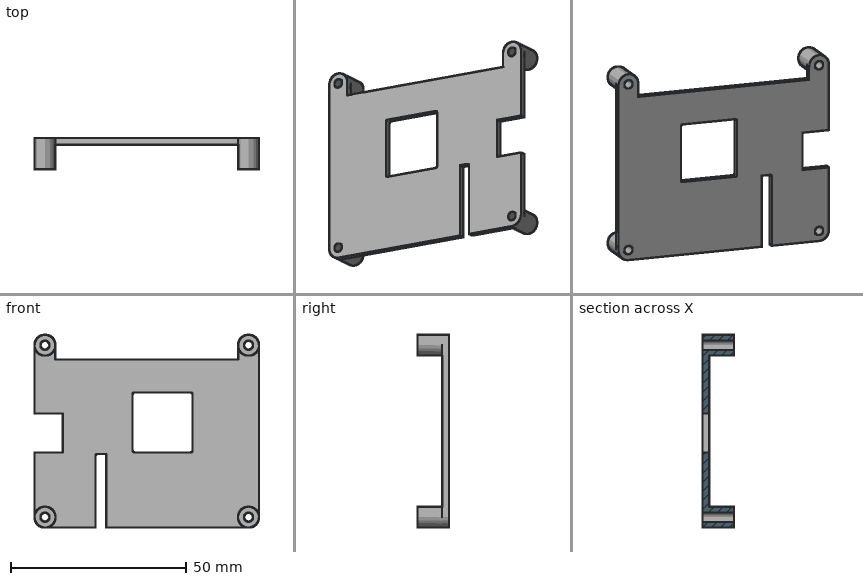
import cadquery as cq

HOLE_SPACING_X = 58.0
HOLE_SPACING_Z = 49.0
BOSS_DIAMETER = 6.0
HOLE_DIAMETER = 2.5
BOSS_LENGTH = 9.0

PLATE_THICKNESS = 2.0
BOSS_RADIUS = BOSS_DIAMETER / 2
PLATE_WIDTH = HOLE_SPACING_X + BOSS_DIAMETER
TOP_HOLE_Z = BOSS_RADIUS + HOLE_SPACING_Z
TOP_EDGE_Z = 48.0

WINDOW_SIZE = 17.0
WINDOW_LEFT = 28.0
WINDOW_BOTTOM = 21.5

NOTCH_DEPTH = 8.0
NOTCH_HEIGHT = 11.0
NOTCH_BOTTOM = 21.5

SLOT_LEFT = 17.4
SLOT_WIDTH = 3.0
SLOT_HEIGHT = 21.0

CUTOUT_FILLET = 0.5

HOLE_CENTRES = [
    (x, z)
    for x in (BOSS_RADIUS, PLATE_WIDTH - BOSS_RADIUS)
    for z in (BOSS_RADIUS, TOP_HOLE_Z)
]


def front_plane():
    """XZ sketch plane on the back face (Y = 0); extrusion runs towards -Y."""
    return cq.Workplane("XZ")


def block(left, bottom, width, height):
    """Block of plate thickness placed by its lower left corner."""
    return (
        front_plane()
        .moveTo(left, bottom)
        .rect(width, height, centered=False)
        .extrude(PLATE_THICKNESS)
    )


def make_plate():
    """Plate with rounded bottom corners and two round-topped lugs."""
    right_lug_inner_x = PLATE_WIDTH - BOSS_DIAMETER
    return (
        front_plane()
        .moveTo(BOSS_RADIUS, 0)
        .lineTo(PLATE_WIDTH - BOSS_RADIUS, 0)
        .radiusArc((PLATE_WIDTH, BOSS_RADIUS), -BOSS_RADIUS)
        .lineTo(PLATE_WIDTH, TOP_HOLE_Z)
        .threePointArc(
            (PLATE_WIDTH - BOSS_RADIUS, TOP_HOLE_Z + BOSS_RADIUS),
            (right_lug_inner_x, TOP_HOLE_Z),
        )
        .lineTo(right_lug_inner_x, TOP_EDGE_Z)
        .lineTo(BOSS_DIAMETER, TOP_EDGE_Z)
        .lineTo(BOSS_DIAMETER, TOP_HOLE_Z)
        .threePointArc((BOSS_RADIUS, TOP_HOLE_Z + BOSS_RADIUS), (0, TOP_HOLE_Z))
        .lineTo(0, BOSS_RADIUS)
        .radiusArc((BOSS_RADIUS, 0), -BOSS_RADIUS)
        .close()
        .extrude(PLATE_THICKNESS)
    )


def make_window():
    """Square opening with all four corners rounded."""
    window = block(WINDOW_LEFT, WINDOW_BOTTOM, WINDOW_SIZE, WINDOW_SIZE)
    return window.edges("|Y").fillet(CUTOUT_FILLET)


def make_notch():
    """Sharp-cornered notch open to the left edge."""
    return block(0, NOTCH_BOTTOM, NOTCH_DEPTH, NOTCH_HEIGHT)


def make_slot():
    """Slot open to the bottom edge, with only its upper left corner rounded."""
    slot = block(SLOT_LEFT, 0, SLOT_WIDTH, SLOT_HEIGHT)
    return slot.edges("|Y").edges("<X").edges(">Z").fillet(CUTOUT_FILLET)


def make_cylinders(diameter):
    """Cylinders of full boss length on every hole centre."""
    return front_plane().pushPoints(HOLE_CENTRES).circle(diameter / 2).extrude(BOSS_LENGTH)


plate = make_plate().cut(make_window()).cut(make_notch()).cut(make_slot())
result = plate.union(make_cylinders(BOSS_DIAMETER)).cut(make_cylinders(HOLE_DIAMETER))